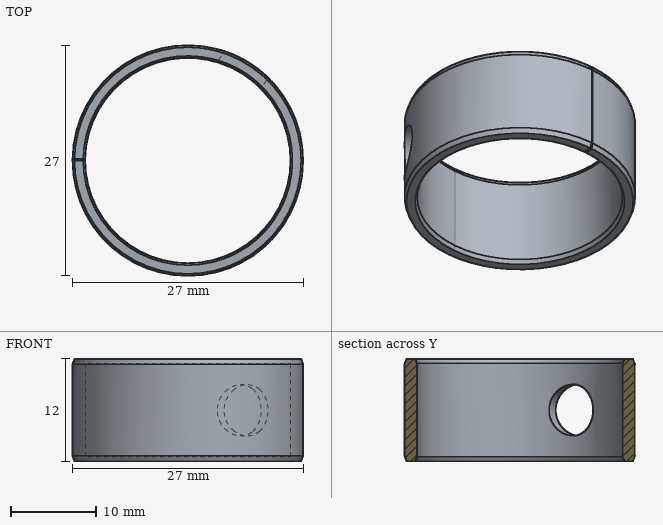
import cadquery as cq

outer_diameter = 27.0
inner_diameter = 24.0
height = 12.0

outer_bevel_depth = 0.25
outer_bevel_height = 0.65
inner_bevel_depth = 0.25
inner_bevel_height = 0.55

slit_width = 0.2
slit_offset = 0.1

hole_diameter = 6.0
hole_angle = 59.0

outer_radius = outer_diameter / 2
inner_radius = inner_diameter / 2


def bevelled_ring():
    """Revolve the wall section, with all four corners bevelled, about Z."""
    return (
        cq.Workplane("XZ")
        .moveTo(inner_radius + inner_bevel_depth, 0)
        .lineTo(outer_radius - outer_bevel_depth, 0)
        .lineTo(outer_radius, outer_bevel_height)
        .lineTo(outer_radius, height - outer_bevel_height)
        .lineTo(outer_radius - outer_bevel_depth, height)
        .lineTo(inner_radius + inner_bevel_depth, height)
        .lineTo(inner_radius, height - inner_bevel_height)
        .lineTo(inner_radius, inner_bevel_height)
        .close()
        .revolve(360, (0, 0, 0), (0, 1, 0))
    )


def slit_cutter():
    """Thin full-height slab reaching from the axis out past the -X wall."""
    return (
        cq.Workplane("XY")
        .center(-outer_radius, slit_offset)
        .rect(outer_diameter, slit_width)
        .extrude(height)
    )


def hole_cutter():
    """Cylinder from the axis out past one side of the wall, at mid height."""
    return (
        cq.Workplane("YZ")
        .center(0, height / 2)
        .circle(hole_diameter / 2)
        .extrude(outer_diameter)
        .rotate((0, 0, 0), (0, 0, 1), hole_angle)
    )


result = bevelled_ring().cut(slit_cutter()).cut(hole_cutter())